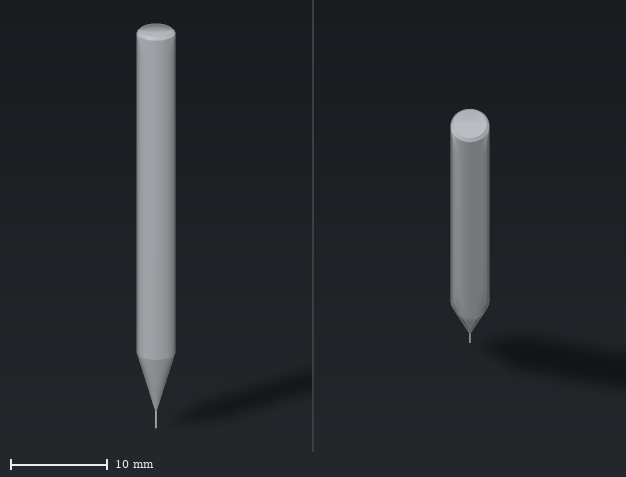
import cadquery as cq

total_length = 45.0
shank_diameter = 4.0
shank_chamfer = 0.3

tip_diameter = 0.2
tip_length = 2.02

cone_top = 8.65

shank_radius = shank_diameter / 2
tip_radius = tip_diameter / 2


def make_shank():
    """Chamfered cylindrical shank that tapers to the tip diameter."""
    profile = (
        cq.Workplane("XZ")
        .moveTo(0, tip_length)
        .lineTo(tip_radius, tip_length)
        .lineTo(shank_radius, cone_top)
        .lineTo(shank_radius, total_length - shank_chamfer)
        .lineTo(shank_radius - shank_chamfer, total_length)
        .lineTo(0, total_length)
        .close()
    )
    return profile.revolve(360, (0, 0, 0), (0, 1, 0))


def make_cutting_tip():
    """Slim rod with a hemispherical lower end, butted against the cone."""
    rod_length = tip_length - tip_radius
    rod = cq.Workplane("XY").workplane(offset=tip_radius).circle(tip_radius).extrude(rod_length)
    ball = cq.Workplane("XY").sphere(tip_radius).translate((0, 0, tip_radius))
    return rod.union(ball)


shank = make_shank()
cutting_tip = make_cutting_tip()

result = cq.Compound.makeCompound([shank.val(), cutting_tip.val()])